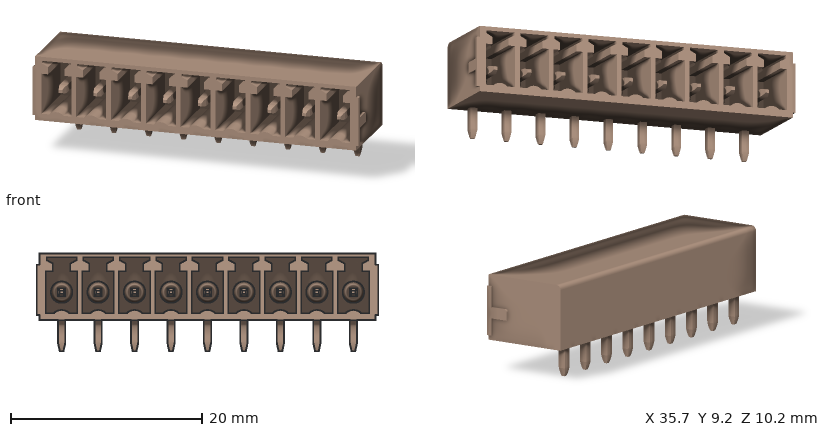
import cadquery as cq
import math


pin_count = 9
row_length = 30.47
pitch = row_length / (pin_count - 1)
positions = [(i - (pin_count - 1) / 2) * pitch for i in range(pin_count)]

overall_width = 35.68
housing_depth = 9.2
housing_height = 7.0
back_edge_radius = 0.5

pad_thickness = 0.3
pad_bottom = 0.55
pad_top = 5.8
pad_depth = 0.55
tongue_bottom = 2.4
tongue_top = 3.57
tongue_depth = 2.5
tongue_corner_radius = 0.3
body_width = overall_width - 2 * pad_thickness

pocket_depth = 6.7
pocket_floor = 0.75
pocket_ceiling = 6.55
pocket_half_width = 1.65
rail_bottom = 5.15
rail_top = 5.92
rail_gap_width = 1.82
rail_gap_half_width = rail_gap_width / 2
head_half_width = 1.57
head_shoulder = 6.28

ridge_half_width = 0.8
ridge_height = 0.32

contact_height = 2.93
boss_base_diameter = 2.25
boss_taper = 18.5
boss_height = 0.8
boss_edge_radius = 0.195

pin_width = 0.8
pin_thickness = 0.82
contact_tip_setback = 1.4
leg_to_back = 1.18
leg_length = 3.25
curved_taper_length = 1.1
tip_curve_angle = 25.0
flat_taper_length = 0.9
flat_taper_angle = 12.0
leg_y = housing_depth - leg_to_back


def block(x_range, y_range, z_range):
    """Box spanning the given ranges."""
    size = [end - start for start, end in (x_range, y_range, z_range)]
    corner = (x_range[0], y_range[0], z_range[0])
    return cq.Workplane("XY").box(*size, centered=False).translate(corner)


def make_end_pad():
    """T-shaped pad, from X = 0 to its thickness, flush with the housing front."""
    upright = block((0, pad_thickness), (0, pad_depth), (pad_bottom, pad_top))
    tongue = block((0, pad_thickness), (0, tongue_depth), (tongue_bottom, tongue_top))
    tongue = tongue.edges("|X and >Y and >Z").fillet(tongue_corner_radius)
    return upright.union(tongue)


def make_pocket(x):
    """Keyed pocket with two undercut rails near the top and a ridge on its floor."""
    return (
        cq.Workplane("XZ")
        .moveTo(-pocket_half_width, pocket_floor)
        .lineTo(-ridge_half_width, pocket_floor)
        .threePointArc((0, pocket_floor + ridge_height), (ridge_half_width, pocket_floor))
        .lineTo(pocket_half_width, pocket_floor)
        .lineTo(pocket_half_width, rail_bottom)
        .lineTo(rail_gap_half_width, rail_bottom)
        .lineTo(rail_gap_half_width, rail_top)
        .lineTo(head_half_width, head_shoulder)
        .lineTo(head_half_width, pocket_ceiling)
        .lineTo(-head_half_width, pocket_ceiling)
        .lineTo(-head_half_width, head_shoulder)
        .lineTo(-rail_gap_half_width, rail_top)
        .lineTo(-rail_gap_half_width, rail_bottom)
        .lineTo(-pocket_half_width, rail_bottom)
        .close()
        .extrude(-pocket_depth)
        .translate((x, 0, 0))
    )


def make_boss(x):
    """Tapered round boss with a rounded rim, standing forward from the pocket's back wall."""
    return (
        cq.Workplane("XZ", origin=(x, pocket_depth, contact_height))
        .circle(boss_base_diameter / 2)
        .extrude(boss_height, taper=boss_taper)
        .faces("<Y")
        .edges()
        .fillet(boss_edge_radius)
    )


def make_bar(length):
    """Straight bar rising along Z from its tip at Z = 0: curved taper in Y, flat taper in X."""
    half_thickness = pin_thickness / 2
    curve_radius = curved_taper_length / math.sin(math.radians(tip_curve_angle))

    def curve_point(angle):
        inset = curve_radius * (1 - math.cos(math.radians(angle)))
        return half_thickness - inset, curved_taper_length - curve_radius * math.sin(math.radians(angle))

    middle_y, middle_z = curve_point(tip_curve_angle / 2)
    end_y, end_z = curve_point(tip_curve_angle)
    side = (
        cq.Workplane("YZ")
        .moveTo(half_thickness, length)
        .lineTo(half_thickness, curved_taper_length)
        .threePointArc((middle_y, middle_z), (end_y, end_z))
        .lineTo(-end_y, end_z)
        .threePointArc((-middle_y, middle_z), (-half_thickness, curved_taper_length))
        .lineTo(-half_thickness, length)
        .close()
        .extrude(pin_width / 2, both=True)
    )
    end_half_width = pin_width / 2 - flat_taper_length * math.tan(math.radians(flat_taper_angle))
    front = (
        cq.Workplane("XZ")
        .polyline(
            [
                (pin_width / 2, length),
                (pin_width / 2, flat_taper_length),
                (end_half_width, 0),
                (-end_half_width, 0),
                (-pin_width / 2, flat_taper_length),
                (-pin_width / 2, length),
            ]
        )
        .close()
        .extrude(pin_thickness / 2, both=True)
    )
    return side.intersect(front)


def make_pin(x):
    """L-shaped contact: a leg below the housing and a contact bar pointing to the front."""
    leg_bar_length = leg_length + contact_height + pin_thickness / 2
    contact_bar_length = leg_y + pin_thickness / 2 - contact_tip_setback
    leg = make_bar(leg_bar_length).translate((0, leg_y, -leg_length))
    contact = (
        make_bar(contact_bar_length)
        .rotate((0, 0, 0), (1, 0, 0), -90)
        .translate((0, contact_tip_setback, contact_height))
    )
    return leg.union(contact).translate((x, 0, 0))


def make_housing(pins):
    """Block with end pads, pockets and bosses, and a matching passage for every pin."""
    half_width = body_width / 2
    housing = block((-half_width, half_width), (0, housing_depth), (0, housing_height))
    housing = housing.edges("|X and >Y and >Z").fillet(back_edge_radius)
    right_pad = make_end_pad().translate((half_width, 0, 0))
    housing = housing.union(right_pad).union(right_pad.mirror("YZ"))
    for x in positions:
        housing = housing.cut(make_pocket(x)).union(make_boss(x))
    for pin in pins:
        housing = housing.cut(pin)
    return housing


pins = [make_pin(x) for x in positions]
housing = make_housing(pins)

result = cq.Compound.makeCompound([housing.val(), *[pin.val() for pin in pins]])